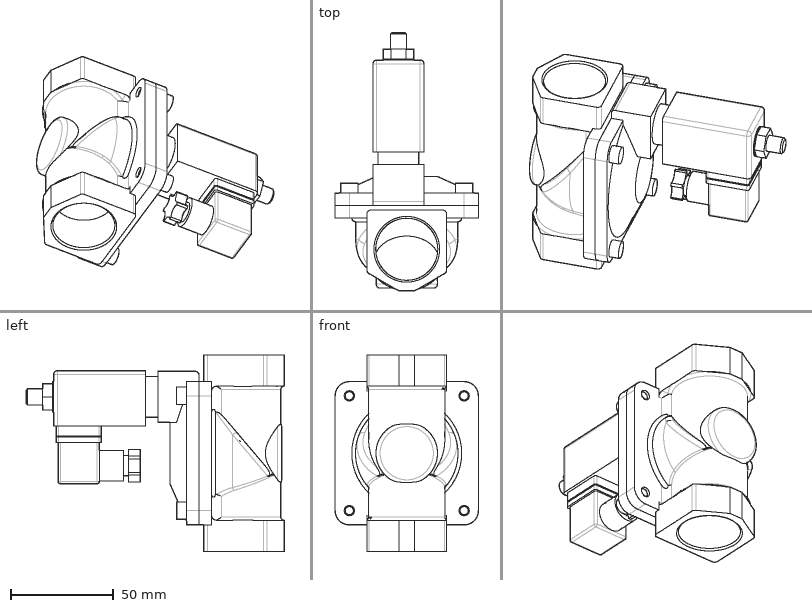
import cadquery as cq
import math


LENGTH = 96.0
OVERALL_DEPTH = 126.0
OVERLAP = 1.0

PIPE_R = 18.6
FLANGE_APOTHEM = 19.5
FLANGE_BACK_Y = 19.1
FLANGE_FRONT_Y = -20.3
FLANGE_HEIGHT = 15.3
FLANGE_CORNER_R = 2.0
FLANGE_ROOT_R = 1.6
FLANGE_Z = LENGTH / 2 - FLANGE_HEIGHT
HEX_SIDES = 6
HEX_HALF_ANGLE = math.pi / HEX_SIDES
FLANGE_SPLAY = math.tan(HEX_HALF_ANGLE)
BORE_R = 30.29 / 2
BORE_CHAMFER = 0.9
INLET_FLOOR_Z = -2.0
OUTLET_DEPTH = 20.0

WEIR_R = 16.0
WEIR_RISE = 51.0
WEIR_END_Y = -6.0
WEIR_LENGTH = 60.0

PLATE_SIZE = 70.0
PLATE_CORNER_R = 7.0
PLATE_THICKNESS = 6.1
BODY_FACE_Y = 15.2
JOINT_Y = BODY_FACE_Y + PLATE_THICKNESS
COVER_FACE_Y = JOINT_Y + PLATE_THICKNESS

CHAMBER_R = 25.0
CHAMBER_CENTRE_Y = 5.0
CHAMBER_FLARE_R = 1.8
SLANT_ANGLE = 49.7
SLANT_Z = 6.7
SLANT_EDGE_R = 3.0
CHAMBER_ROOT_R = 2.2
NECK_ROOT_R = 3.0
WEB_R = 2.4

BOSS_R = 15.0
BOSS_FACE_Y = -19.0
BOSS_EDGE_R = 2.0

DOME_TOP_Y = 35.6
DOME_TOP_R = 14.9
DOME_SLOPE = 0.445
DOME_BASE_R = DOME_TOP_R + (DOME_TOP_Y - COVER_FACE_Y) / DOME_SLOPE
PILOT_X = -4.05
PILOT_Z = 27.5
PILOT_WIDTH = 25.0
PILOT_END_Y = 41.4
PILOT_EDGE_R = 2.0

SCREW_PITCH = 56.0
SCREW_R = 5.0 / 2
SCREW_HEAD_R = 8.5 / 2
SCREW_HEAD_HEIGHT = 4.9
SCREW_END_RECESS = 1.0
SCREW_END_CHAMFER = 0.5

TUBE_R = 20.0 / 2
COIL_START_Y = 47.4
COIL_END_Y = 92.3
COIL_TOP_Z = 40.3
COIL_BOTTOM_Z = 13.2
COIL_EDGE_R = 1.9
WASHER_R = 15.0 / 2
WASHER_END_Y = 92.8
NUT_FLATS = 13.0
NUT_END_Y = 97.6
STEM_R = 8.0 / 2
STEM_END_Y = FLANGE_FRONT_Y + OVERALL_DEPTH
STEM_CHAMFER = 0.8

PLUG_CENTRE_Y = 80.0
SOCKET_LENGTH = 22.0
SOCKET_WIDTH = 22.0
SOCKET_BOTTOM_Z = 5.2
GROOVE_Z = 8.2
GROOVE_HEIGHT = 0.4
GROOVE_DEPTH = 0.3
PLUG_LENGTH = 20.2
PLUG_WIDTH = 20.0
PLUG_BOTTOM_Z = -14.9
PLUG_EDGE_R = 1.1
GLAND_Z = -6.1
GLAND_R = 15.0 / 2
GLAND_END_Y = 58.1
GLAND_NECK_R = 10.0 / 2
KNOB_START_Y = 55.8
KNOB_END_Y = 50.0
KNOB_R = 8.0
KNOB_SCALLOPS = 6
SCALLOP_R = 4.0
SCALLOP_OFFSET = 9.5


def rod(radius, start_y, end_y, x=0.0, z=0.0):
    """Round bar along Y."""
    low = min(start_y, end_y)
    return cq.Workplane("XZ", origin=(x, low, z)).circle(radius).extrude(-abs(end_y - start_y))


def block(x_range, y_range, z_range):
    """Axis-aligned box between three pairs of limits."""
    size = [high - low for low, high in (x_range, y_range, z_range)]
    corner = (x_range[0], y_range[0], z_range[0])
    return cq.Workplane("XY").box(*size, centered=False).translate(corner)


def span(centre, width):
    return (centre - width / 2, centre + width / 2)


def plate(start_y):
    """Square joint plate with rounded corners and the four screw holes."""
    blank = (
        cq.Workplane("XZ", origin=(0, start_y, 0))
        .rect(PLATE_SIZE, PLATE_SIZE)
        .extrude(-PLATE_THICKNESS)
        .edges("|Y")
        .fillet(PLATE_CORNER_R)
    )
    for x, z in screw_places():
        blank = blank.cut(rod(SCREW_R, start_y, start_y + PLATE_THICKNESS, x, z))
    return blank


def screw_places():
    half = SCREW_PITCH / 2
    return [(x, z) for x in (-half, half) for z in (-half, half)]


def end_flange(start_z):
    """Half square, half hexagon wrench flange with its hexagon tip cut flat."""
    tip_drop = FLANGE_APOTHEM / math.cos(HEX_HALF_ANGLE)
    shoulder_y = -tip_drop + FLANGE_APOTHEM * FLANGE_SPLAY
    tip_x = (FLANGE_FRONT_Y + tip_drop) / FLANGE_SPLAY
    outline = [
        (-FLANGE_APOTHEM, FLANGE_BACK_Y),
        (-FLANGE_APOTHEM, shoulder_y),
        (-tip_x, FLANGE_FRONT_Y),
        (tip_x, FLANGE_FRONT_Y),
        (FLANGE_APOTHEM, shoulder_y),
        (FLANGE_APOTHEM, FLANGE_BACK_Y),
    ]
    flange = cq.Workplane("XY", origin=(0, 0, start_z)).polyline(outline).close().extrude(FLANGE_HEIGHT)
    return flange.edges("|Z and (<X or >X)").fillet(FLANGE_CORNER_R)


def flange_root(side):
    """Concave collar between the pipe and a flange; side is +1 for the top and -1 for the bottom."""
    inner = PIPE_R - OVERLAP
    collar = (
        cq.Workplane("XZ")
        .moveTo(inner, FLANGE_Z)
        .lineTo(inner, FLANGE_Z - FLANGE_ROOT_R)
        .lineTo(PIPE_R, FLANGE_Z - FLANGE_ROOT_R)
        .radiusArc((PIPE_R + FLANGE_ROOT_R, FLANGE_Z), FLANGE_ROOT_R)
        .close()
        .revolve(360, (0, 0), (0, 1))
    )
    limit = block((-FLANGE_APOTHEM, FLANGE_APOTHEM), (FLANGE_FRONT_Y, FLANGE_BACK_Y), (0, LENGTH))
    collar = collar.intersect(limit)
    return collar if side > 0 else collar.mirror("XY")


def plate_neck():
    """Bridge between pipe and plate whose concave sides run tangent into both."""
    centre_y = BODY_FACE_Y - NECK_ROOT_R
    centre_x = math.sqrt((PIPE_R + NECK_ROOT_R) ** 2 - centre_y**2)
    on_pipe = PIPE_R / (PIPE_R + NECK_ROOT_R)
    pipe_x = centre_x * on_pipe
    pipe_y = centre_y * on_pipe
    return (
        cq.Workplane("XY")
        .moveTo(-centre_x, BODY_FACE_Y)
        .lineTo(centre_x, BODY_FACE_Y)
        .radiusArc((pipe_x, pipe_y), -NECK_ROOT_R)
        .lineTo(-pipe_x, pipe_y)
        .radiusArc((-centre_x, BODY_FACE_Y), -NECK_ROOT_R)
        .close()
        .extrude(FLANGE_Z, both=True)
    )


def plate_web(side):
    """Concave strip between a flange's inner face and the plate."""
    strip = (
        cq.Workplane("YZ", origin=(-FLANGE_APOTHEM, 0, 0))
        .moveTo(BODY_FACE_Y, FLANGE_Z)
        .lineTo(BODY_FACE_Y - WEB_R, FLANGE_Z)
        .radiusArc((BODY_FACE_Y, FLANGE_Z - WEB_R), WEB_R)
        .close()
        .extrude(2 * FLANGE_APOTHEM)
    )
    return strip if side > 0 else strip.mirror("XY")


def slant_cutter():
    """Everything above the slanted plane."""
    reach = LENGTH
    rise = reach * math.tan(math.radians(SLANT_ANGLE))
    return (
        cq.Workplane("YZ", origin=(-reach, 0, 0))
        .polyline([(-reach, SLANT_Z - rise), (reach, SLANT_Z + rise), (-reach, SLANT_Z + rise)])
        .close()
        .extrude(2 * reach)
    )


def dome_blank():
    """Cylinder with a hemispherical end, before the slanted cut."""
    return (
        cq.Workplane("XY")
        .moveTo(0, JOINT_Y)
        .lineTo(CHAMBER_R, JOINT_Y)
        .lineTo(CHAMBER_R, CHAMBER_CENTRE_Y)
        .radiusArc((0, CHAMBER_CENTRE_Y - CHAMBER_R), CHAMBER_R)
        .close()
        .revolve(360, (0, 0), (0, 1))
    )


def pipe():
    return cq.Workplane("XY").circle(PIPE_R).extrude(FLANGE_Z + OVERLAP, both=True)


def chamber_root():
    """Concave fillet where the underside of the chamber meets the pipe."""
    lower_pipe = pipe().intersect(block((-PIPE_R, PIPE_R), (-PIPE_R, PIPE_R), (-LENGTH, 0)))
    joined = dome_blank().union(lower_pipe)
    fillet = joined.edges("%BSPLINE").fillet(CHAMBER_ROOT_R).cut(joined).cut(slant_cutter())
    return fillet.cut(rod(PLATE_SIZE, BODY_FACE_Y, 2 * JOINT_Y))


def chamber():
    """Domed round chamber with its slanted upper side and the flare onto the plate."""
    dome = dome_blank()
    slant = math.radians(SLANT_ANGLE)
    slant_normal = cq.Vector(0, -math.sin(slant), math.cos(slant))
    dome = dome.cut(slant_cutter())
    dome = dome.faces(cq.selectors.DirectionMinMaxSelector(slant_normal)).edges("not |X").fillet(SLANT_EDGE_R)
    dome = dome.cut(rod(PLATE_SIZE, BODY_FACE_Y, 2 * JOINT_Y))
    flare = (
        cq.Workplane("XY")
        .moveTo(CHAMBER_R - OVERLAP, BODY_FACE_Y)
        .lineTo(CHAMBER_R + CHAMBER_FLARE_R, BODY_FACE_Y)
        .radiusArc((CHAMBER_R, BODY_FACE_Y - CHAMBER_FLARE_R), CHAMBER_FLARE_R)
        .lineTo(CHAMBER_R - OVERLAP, BODY_FACE_Y - CHAMBER_FLARE_R)
        .close()
        .revolve(360, (0, 0), (0, 1))
    )
    return dome.union(flare.cut(slant_cutter()))


def inlet_bore():
    """Top bore, partly closed by the tilted weir."""
    bore = cq.Workplane("XY", origin=(0, 0, INLET_FLOOR_Z)).circle(BORE_R).extrude(LENGTH / 2 - INLET_FLOOR_Z)
    rise = math.radians(WEIR_RISE)
    axis = cq.Vector(0, -math.cos(rise), math.sin(rise))
    weir = cq.Solid.makeCylinder(WEIR_R, WEIR_LENGTH, cq.Vector(0, WEIR_END_Y, 0), axis)
    return bore.cut(cq.Workplane(weir))


def bore_chamfer(side):
    cone = cq.Solid.makeCone(
        BORE_R, BORE_R + BORE_CHAMFER, BORE_CHAMFER, cq.Vector(0, 0, LENGTH / 2 - BORE_CHAMFER)
    )
    cone = cq.Workplane(cone)
    return cone if side > 0 else cone.mirror("XY")


def make_valve_body():
    body = pipe().union(chamber()).union(chamber_root())
    body = body.union(plate_neck())
    boss = rod(BOSS_R, BOSS_FACE_Y, 0).faces("<Y").edges().fillet(BOSS_EDGE_R)
    body = body.union(boss).union(plate(BODY_FACE_Y))
    body = body.union(end_flange(FLANGE_Z)).union(end_flange(-LENGTH / 2))
    for side in (1, -1):
        body = body.union(flange_root(side)).union(plate_web(side))
        body = body.cut(bore_chamfer(side))
    outlet = cq.Workplane("XY", origin=(0, 0, -LENGTH / 2)).circle(BORE_R).extrude(OUTLET_DEPTH)
    return body.cut(inlet_bore()).cut(outlet)


def make_cover():
    """Plate with a conical dome and the square pilot block, which overhangs the top edge."""
    dome = cq.Workplane(
        cq.Solid.makeCone(
            DOME_BASE_R,
            DOME_TOP_R,
            DOME_TOP_Y - COVER_FACE_Y,
            cq.Vector(0, COVER_FACE_Y, 0),
            cq.Vector(0, 1, 0),
        )
    )
    pilot = block(span(PILOT_X, PILOT_WIDTH), (JOINT_Y, PILOT_END_Y), span(PILOT_Z, PILOT_WIDTH))
    pilot = pilot.edges(">Z and <Y").fillet(PILOT_EDGE_R)
    return plate(JOINT_Y).union(dome).union(pilot)


def make_screw(x, z):
    head = rod(SCREW_HEAD_R, COVER_FACE_Y, COVER_FACE_Y + SCREW_HEAD_HEIGHT, x, z)
    shank = rod(SCREW_R, BODY_FACE_Y + SCREW_END_RECESS, COVER_FACE_Y, x, z)
    return head.union(shank.faces("<Y").chamfer(SCREW_END_CHAMFER))


def coil_housing():
    coil = block(
        span(PILOT_X, PILOT_WIDTH), (COIL_START_Y, COIL_END_Y), (COIL_BOTTOM_Z, COIL_TOP_Z)
    )
    coil = coil.edges("(|Y and >Z) or (>Y and (not <Z))").fillet(COIL_EDGE_R)
    return coil.union(rod(TUBE_R, PILOT_END_Y, COIL_START_Y, PILOT_X, PILOT_Z))


def coil_nut():
    washer = rod(WASHER_R, COIL_END_Y, WASHER_END_Y, PILOT_X, PILOT_Z)
    nut = (
        cq.Workplane("XZ", origin=(PILOT_X, WASHER_END_Y, PILOT_Z))
        .polygon(HEX_SIDES, NUT_FLATS / math.cos(HEX_HALF_ANGLE))
        .extrude(WASHER_END_Y - NUT_END_Y)
    )
    stem = rod(STEM_R, NUT_END_Y, STEM_END_Y, PILOT_X, PILOT_Z).faces(">Y").chamfer(STEM_CHAMFER)
    return washer.union(nut).union(stem)


def plug_connector():
    """Rectangular socket and plug below the coil, with the parting groove."""
    socket = block(
        span(PILOT_X, SOCKET_WIDTH), span(PLUG_CENTRE_Y, SOCKET_LENGTH), (SOCKET_BOTTOM_Z, COIL_BOTTOM_Z)
    )
    socket = socket.edges("|Z").fillet(PLUG_EDGE_R)
    groove = block(
        span(PILOT_X, SOCKET_WIDTH), span(PLUG_CENTRE_Y, SOCKET_LENGTH), span(GROOVE_Z, GROOVE_HEIGHT)
    ).cut(
        block(
            span(PILOT_X, SOCKET_WIDTH - 2 * GROOVE_DEPTH),
            span(PLUG_CENTRE_Y, SOCKET_LENGTH - 2 * GROOVE_DEPTH),
            span(GROOVE_Z, GROOVE_HEIGHT),
        )
    )
    plug = block(
        span(PILOT_X, PLUG_WIDTH), span(PLUG_CENTRE_Y, PLUG_LENGTH), (PLUG_BOTTOM_Z, SOCKET_BOTTOM_Z)
    )
    plug = plug.edges("|Z or <Z").fillet(PLUG_EDGE_R)
    return socket.cut(groove).union(plug)


def cable_gland():
    """Gland with a scalloped clamping knob, pointing to -Y."""
    plug_front_y = PLUG_CENTRE_Y - PLUG_LENGTH / 2
    barrel = rod(GLAND_R, GLAND_END_Y, plug_front_y, PILOT_X, GLAND_Z)
    neck = rod(GLAND_NECK_R, KNOB_START_Y, GLAND_END_Y, PILOT_X, GLAND_Z)
    knob = rod(KNOB_R, KNOB_END_Y, KNOB_START_Y, PILOT_X, GLAND_Z)
    for i in range(KNOB_SCALLOPS):
        angle = 2 * math.pi * i / KNOB_SCALLOPS
        x = PILOT_X + SCALLOP_OFFSET * math.cos(angle)
        z = GLAND_Z + SCALLOP_OFFSET * math.sin(angle)
        knob = knob.cut(rod(SCALLOP_R, KNOB_END_Y, KNOB_START_Y, x, z))
    return barrel.union(neck).union(knob)


def make_coil():
    return coil_housing().union(coil_nut()).union(plug_connector()).union(cable_gland())


valve_body = make_valve_body()
cover = make_cover()
coil = make_coil()
screws = [make_screw(x, z).val() for x, z in screw_places()]

result = cq.Compound.makeCompound([valve_body.val(), cover.val(), coil.val(), *screws])